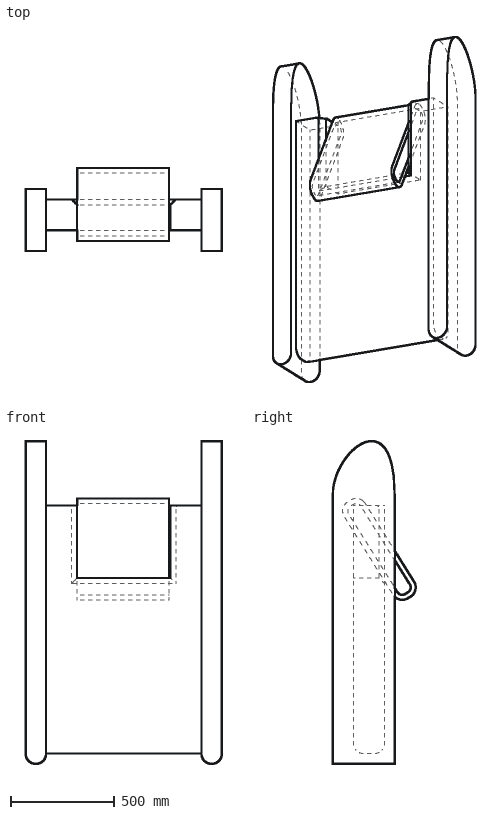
import cadquery as cq
import math

total_width = 950.0
slat_width = 100.0
slat_depth = 300.0
slat_bottom_radius = slat_width / 2
shoulder_height = 1304.0
crown_front_handle = 208.0
crown_back_handle = 457.5

panel_width = total_width - 2 * slat_width
panel_front = -50.0
panel_back = 100.0
panel_bottom = slat_bottom_radius
panel_top = 1250.0
panel_bottom_radius = 50.0

notch_width = 450.0
notch_depth = 350.0
notch_bottom = panel_top - notch_depth
notch_chamfer = 27.0
bevel_end_radius = 9.0
pick_margin = 1.0

flap_width = 445.0
flap_length = 550.0
flap_thickness = 120.0
flap_corner_radius = 52.0
flap_wall = 25.0
flap_slope = 58.0
flap_back = 251.73
flap_top = 1284.0
flap_start_x = -notch_width / 2


def make_slat(start_x):
    """One upright slat with a leaning crown and a rounded lower end."""
    half_depth = slat_depth / 2
    crown = [
        (half_depth, shoulder_height),
        (half_depth, shoulder_height + crown_back_handle),
        (-half_depth, shoulder_height + crown_front_handle),
        (-half_depth, shoulder_height),
    ]
    blank = (
        cq.Workplane("YZ", origin=(start_x, 0, 0))
        .moveTo(-half_depth, 0)
        .lineTo(half_depth, 0)
        .lineTo(*crown[0])
        .bezier(crown)
        .close()
        .extrude(slat_width)
    )
    envelope_height = shoulder_height + max(crown_front_handle, crown_back_handle)
    end_x = start_x + slat_width
    envelope = (
        cq.Workplane("XZ", origin=(0, half_depth, 0))
        .moveTo(start_x, slat_bottom_radius)
        .threePointArc((start_x + slat_width / 2, 0), (end_x, slat_bottom_radius))
        .lineTo(end_x, envelope_height)
        .lineTo(start_x, envelope_height)
        .close()
        .extrude(slat_depth)
    )
    return blank.intersect(envelope)


def make_panel():
    """Panel with a rounded lower edge and a notch bevelled along its back rim."""
    thickness = panel_back - panel_front
    middle_y = (panel_front + panel_back) / 2
    board = (
        cq.Workplane("XY", origin=(0, middle_y, panel_bottom))
        .rect(panel_width, thickness)
        .extrude(panel_top - panel_bottom)
        .edges("|X and <Z")
        .fillet(panel_bottom_radius)
    )
    notch = (
        cq.Workplane("XY", origin=(0, middle_y, notch_bottom))
        .rect(notch_width, thickness)
        .extrude(notch_depth)
    )
    panel = board.cut(notch)

    half_notch = notch_width / 2
    rim = cq.selectors.BoxSelector(
        (-half_notch - pick_margin, panel_back - pick_margin, notch_bottom - pick_margin),
        (half_notch + pick_margin, panel_back + pick_margin, panel_top - pick_margin),
    )
    panel = panel.edges(rim).chamfer(notch_chamfer)

    bevel_ends = cq.selectors.BoxSelector(
        (-half_notch - notch_chamfer, panel_back - notch_chamfer, panel_top - pick_margin),
        (half_notch + notch_chamfer, panel_back, panel_top + pick_margin),
    )
    return panel.edges(bevel_ends).fillet(bevel_end_radius)


def make_flap():
    """Open-ended tube of constant wall, placed by its highest and rearmost points."""
    slope = math.radians(flap_slope)
    corner_along = flap_length / 2 - flap_corner_radius
    corner_across = flap_thickness / 2 - flap_corner_radius
    half_depth = corner_along * math.cos(slope) + corner_across * math.sin(slope) + flap_corner_radius
    half_height = corner_along * math.sin(slope) + corner_across * math.cos(slope) + flap_corner_radius
    center = (flap_start_x, flap_back - half_depth, flap_top - half_height)

    def rounded_bar(inset):
        return (
            cq.Workplane("YZ", origin=center)
            .transformed(rotate=(0, 0, -flap_slope))
            .rect(flap_length - 2 * inset, flap_thickness - 2 * inset)
            .extrude(flap_width)
            .edges("|X")
            .fillet(flap_corner_radius - inset)
        )

    return rounded_bar(0).cut(rounded_bar(flap_wall))


frame = make_panel()
for slat_start in (-total_width / 2, panel_width / 2):
    frame = frame.union(make_slat(slat_start))

flap = make_flap()

result = cq.Compound.makeCompound([frame.solids().val(), flap.solids().val()])